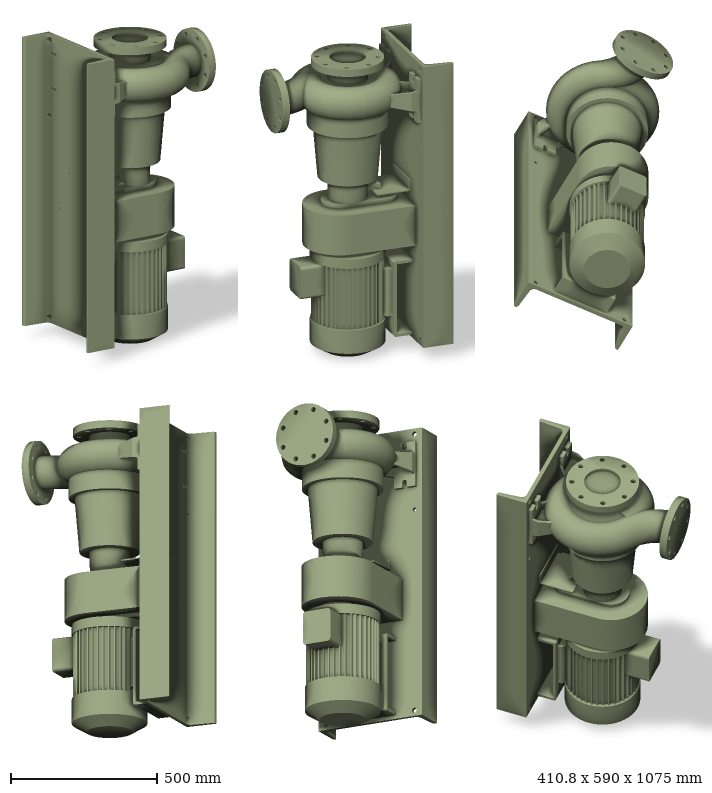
import cadquery as cq
import math


base_face_y = -200.0
discharge_face_y = 280.0
suction_face_z = 125.0

channel_width = 400.0
channel_depth = 110.0
channel_top_z = 130.0
channel_length = 1030.0
web_thickness = 14.0
flange_thickness = 18.0
flange_slope = 0.08
root_radius = 18.0
toe_radius = 9.0

anchor_end_distance = 20.0
anchor_holes = (18.0, 170.0, (channel_top_z - anchor_end_distance,
                              channel_top_z - channel_length + anchor_end_distance))
side_holes = (14.0, 171.0, (-160.0,))

pipe_radius = 57.0
volute_left = 178.0
volute_right = 210.8
tail_end_angle = 60.0
volute_core_radius = 125.0
volute_core_half_height = 48.0

flange_plate = 26.0
flange_holes = 8
flange_hole_diameter = 18.0
suction_flange_diameter = 250.0
suction_hole_circle = 210.0
suction_neck_diameter = 140.0
suction_bore = 125.0
suction_bore_depth = 13.0
discharge_flange_diameter = 220.0
discharge_hole_circle = 180.0

cover_radius = 140.0
cover_bottom_z = -120.0
cone_top_radius = 120.0
cone_bottom_radius = 103.5
cone_bottom_z = -311.0
boss_top_radius = 70.0
boss_bottom_radius = 67.0
boss_bottom_z = -388.0

foot_outer_x = 181.0
foot_inner_x = 101.0
foot_thickness = 15.0
foot_half_length = 80.0
foot_slot_x = 140.0
foot_slot_z = 62.5
foot_slot_width = 18.0
rib_thickness = 8.0
rib_knee_y = -164.0
rib_tip = (-149.0, -101.0)
inner_rib_tip = (-62.0, -167.0)
rib_half_width_at_base = 40.0
rib_half_width_at_axis = 5.0
rib_web_thickness = 12.0
foot_holes = (14.0, (foot_slot_x, 156.5), (foot_slot_z, -foot_slot_z))

bracket_width = 160.0
bracket_sheet = 4.0
bracket_top_z = -324.0
bracket_bottom_z = -367.0
bracket_reach_y = -78.0
lug_width = 60.0
lug_top_z = -346.0
lug_end_y = -110.0
bracket_holes = (9.0, 54.0, (-340.0,))

guard_radius = 126.5
guard_round_y = 31.0
guard_top_z = -405.0
guard_bottom_z = -551.0
collar_radius = 64.0
collar_thickness = 14.0
collar_lower_y = -117.0
guard_holes = (8.0, 109.0, ((guard_top_z + guard_bottom_z) / 2,))

motor_top_z = -569.0
motor_flange_bottom_z = -603.5
fan_cover_top_z = -829.5
fan_cover_bottom_z = -915.0
motor_bottom_z = -945.0
motor_radius = 129.5
motor_end_radius = 79.0
core_radius = 116.0
fin_radius = 125.0
fin_pitch_angle = 9.0
fins_per_half_side = 5
fin_thickness = 3.5
shaft_height = 132.0
motor_foot_half_width = 80.0
motor_foot_top_half_width = 66.0
motor_foot_shoulder_y = -118.0
motor_foot_top_y = -106.0
motor_foot_top_z = -642.0
motor_foot_bottom_z = -816.0
box_half_width = 53.0
box_top_z = -604.5
box_bottom_z = -722.0
box_outer_y = 192.0
box_corner_radius = 11.0

support_top_z = -611.0
support_bottom_z = -887.0
support_width = 200.0
support_sheet = 10.0
support_bend_radius = 7.0


def cylinder(radius, z_low, z_high):
    """Upright cylinder on the pump axis."""
    return cq.Workplane("XY").workplane(offset=z_low).circle(radius).extrude(z_high - z_low)


def box(x_range, y_range, z_range):
    """Box given by its limits along the three axes."""
    size = [high - low for low, high in (x_range, y_range, z_range)]
    corner = (x_range[0], y_range[0], z_range[0])
    return cq.Workplane("XY").box(*size, centered=False).translate(corner)


def pipe_bend(centre, bend_radius, start_angle, sweep_angle):
    """Solid round bend lying in the Z = 0 plane."""
    bend = (
        cq.Workplane("XZ")
        .center(bend_radius, 0)
        .circle(pipe_radius)
        .revolve(sweep_angle, (-bend_radius, 0, 0), (-bend_radius, 1, 0))
    )
    return bend.rotate((0, 0, 0), (0, 0, 1), start_angle).translate((centre[0], centre[1], 0))


def base_holes(diameter, half_spacing, z_positions):
    """Cutters for mirrored pairs of holes through the base."""
    points = [(side * half_spacing, z) for side in (-1, 1) for z in z_positions]
    return (
        cq.Workplane("XZ", origin=(0, base_face_y, 0))
        .pushPoints(points)
        .circle(diameter / 2)
        .extrude(web_thickness + root_radius)
    )


def build_base():
    half = channel_width / 2
    mid_depth = channel_depth / 2
    root_thickness = flange_thickness + flange_slope * (mid_depth - web_thickness)
    toe_thickness = flange_thickness - flange_slope * mid_depth
    web_y = base_face_y - web_thickness
    toe_y = base_face_y - channel_depth
    channel = (
        cq.Workplane("XY", origin=(0, 0, channel_top_z - channel_length))
        .polyline([
            (-half, base_face_y),
            (half, base_face_y),
            (half, toe_y),
            (half - toe_thickness, toe_y),
            (half - root_thickness, web_y),
            (root_thickness - half, web_y),
            (toe_thickness - half, toe_y),
            (-half, toe_y),
        ])
        .close()
        .extrude(channel_length)
    )
    for side in (-1, 1):
        root = cq.NearestToPointSelector((side * (half - root_thickness), web_y, 0))
        channel = channel.edges("|Z").edges(root).fillet(root_radius)
        toe = cq.NearestToPointSelector((side * (half - toe_thickness), toe_y, 0))
        channel = channel.edges("|Z").edges(toe).fillet(toe_radius)

    foot_diameter, foot_spacings, foot_z = foot_holes
    groups = [anchor_holes, side_holes, bracket_holes, guard_holes]
    groups += [(foot_diameter, spacing, foot_z) for spacing in foot_spacings]
    for group in groups:
        channel = channel.cut(base_holes(*group))
    return channel


def build_volute():
    main_centre_x = (volute_right - volute_left) / 2
    main_radius = (volute_right + volute_left) / 2 - pipe_radius
    tail_radius = volute_left - pipe_radius

    outlet_radius = (
        discharge_face_y ** 2 + main_centre_x ** 2 - main_radius ** 2
    ) / (2 * (main_radius + main_centre_x))
    join_angle = math.degrees(math.asin(discharge_face_y / (main_radius + outlet_radius)))

    main = pipe_bend((main_centre_x, 0), main_radius, 180, 180 + join_angle)
    tail = pipe_bend((0, 0), tail_radius, tail_end_angle, 180 - tail_end_angle)
    outlet = pipe_bend((outlet_radius, discharge_face_y), outlet_radius, 180, join_angle)
    core = cylinder(volute_core_radius, -volute_core_half_height, volute_core_half_height)
    return main.union(outlet).union(tail).union(core)


def pipe_flange(diameter, hole_circle):
    """Flange with its face on Z = 0 and its plate below."""
    return (
        cq.Workplane("XY")
        .circle(diameter / 2)
        .extrude(-flange_plate)
        .faces(">Z")
        .workplane()
        .polarArray(hole_circle / 2, 180 / flange_holes, 360, flange_holes)
        .hole(flange_hole_diameter)
    )


def build_bearing_housing():
    return (
        cq.Workplane("XZ")
        .polyline([
            (0, 0),
            (cover_radius, 0),
            (cover_radius, cover_bottom_z),
            (cone_top_radius, cover_bottom_z),
            (cone_bottom_radius, cone_bottom_z),
            (boss_top_radius, cone_bottom_z),
            (boss_bottom_radius, boss_bottom_z),
            (0, boss_bottom_z),
        ])
        .close()
        .revolve(360, (0, 0, 0), (0, 1, 0))
    )


def rib_taper():
    """Tapered slab that limits the ribs along Z: wide at the base, narrow at the pump axis."""
    return (
        cq.Workplane("YZ", origin=(-channel_width / 2, 0, 0))
        .polyline([
            (base_face_y, -rib_half_width_at_base),
            (0, -rib_half_width_at_axis),
            (0, rib_half_width_at_axis),
            (base_face_y, rib_half_width_at_base),
        ])
        .close()
        .extrude(channel_width / 2)
    )


def build_left_foot():
    plate_top = base_face_y + foot_thickness
    plate = box((-foot_outer_x, -foot_inner_x), (base_face_y, plate_top),
                (-foot_half_length, foot_half_length))
    for side in (-1, 1):
        slot_z = sorted((side * foot_slot_z, side * foot_half_length))
        slot = box((-foot_slot_x - foot_slot_width / 2, -foot_slot_x + foot_slot_width / 2),
                   (base_face_y, plate_top), slot_z)
        slot_end = (
            cq.Workplane("XZ", origin=(-foot_slot_x, plate_top, side * foot_slot_z))
            .circle(foot_slot_width / 2)
            .extrude(foot_thickness)
        )
        plate = plate.cut(slot).cut(slot_end)

    panel_start_y = base_face_y - 2 * rib_thickness
    outline = cq.Workplane("XY", origin=(0, 0, -rib_half_width_at_base)).polyline([
        (-foot_outer_x, panel_start_y),
        (-foot_outer_x, rib_knee_y),
        rib_tip,
        (-foot_inner_x, rib_tip[1]),
        inner_rib_tip,
        (-foot_inner_x, base_face_y),
        (-foot_inner_x, panel_start_y),
    ]).close()
    inside = outline.offset2D(-rib_thickness).extrude(2 * rib_half_width_at_base)
    solid_panel = cq.Workplane(outline.val()).toPending().extrude(2 * rib_half_width_at_base)
    ribs = solid_panel.cut(inside).intersect(rib_taper())
    web = solid_panel.intersect(
        box((-foot_outer_x, 0), (base_face_y, 0), (-rib_web_thickness / 2, rib_web_thickness / 2))
    )
    return plate.union(ribs).union(web)


def build_rear_bracket():
    half = bracket_width / 2
    upright = box((-half, half), (base_face_y, base_face_y + bracket_sheet),
                  (bracket_bottom_z, bracket_top_z))
    shelf_top = bracket_bottom_z + bracket_sheet
    shelf = box((-half, half), (base_face_y, bracket_reach_y), (bracket_bottom_z, shelf_top))
    lug = box((-lug_width / 2, lug_width / 2), (lug_end_y, 0), (shelf_top, lug_top_z))
    return upright.union(shelf).union(lug)


def build_pump():
    suction_flange = pipe_flange(suction_flange_diameter, suction_hole_circle)
    discharge_flange = pipe_flange(discharge_flange_diameter, discharge_hole_circle)
    left_foot = build_left_foot()
    suction_bore_cut = cylinder(suction_bore / 2, suction_face_z - suction_bore_depth, suction_face_z)
    pump = build_volute()
    pump = pump.union(cylinder(suction_neck_diameter / 2, 0, suction_face_z - flange_plate))
    pump = pump.union(suction_flange.translate((0, 0, suction_face_z)))
    pump = pump.cut(suction_bore_cut)
    pump = pump.union(
        discharge_flange.rotate((0, 0, 0), (1, 0, 0), -90).translate((0, discharge_face_y, 0))
    )
    pump = pump.union(build_bearing_housing())
    pump = pump.union(left_foot).union(left_foot.mirror("YZ"))
    return pump.union(build_rear_bracket())


def build_guard():
    def straight_and_round(radius, low_y, z_low, z_high):
        round_end = cylinder(radius, z_low, z_high).translate((0, guard_round_y, 0))
        straight = box((-radius, radius), (low_y, guard_round_y), (z_low, z_high))
        return round_end.union(straight)

    case = straight_and_round(guard_radius, base_face_y, guard_bottom_z, guard_top_z)
    collars = (guard_bottom_z - collar_thickness, guard_top_z + collar_thickness)
    collar = straight_and_round(collar_radius, collar_lower_y, *collars)
    lower_end = cylinder(collar_radius, *collars).translate((0, collar_lower_y, 0))
    return case.union(collar).union(lower_end)


def motor_fins():
    """Fins of the +X side: all parallel to X, with evenly spread tips on one circle."""
    fins = cq.Workplane("XY")
    for side in (-1, 1):
        for index in range(fins_per_half_side):
            tip_angle = math.radians((index + 0.5) * fin_pitch_angle)
            fin_y = side * fin_radius * math.sin(tip_angle)
            fin = box((0, fin_radius * math.cos(tip_angle)),
                      (fin_y - fin_thickness / 2, fin_y + fin_thickness / 2),
                      (fan_cover_top_z, motor_flange_bottom_z))
            fins = fins.add(fin)
    return fins.combine()


def build_motor():
    frame = (
        cq.Workplane("XZ")
        .polyline([
            (0, motor_top_z),
            (motor_radius, motor_top_z),
            (motor_radius, motor_flange_bottom_z),
            (core_radius, motor_flange_bottom_z),
            (core_radius, fan_cover_top_z),
            (motor_radius, fan_cover_top_z),
            (motor_radius, fan_cover_bottom_z),
            (motor_end_radius, motor_bottom_z),
            (0, motor_bottom_z),
        ])
        .close()
        .revolve(360, (0, 0, 0), (0, 1, 0))
    )
    fins = motor_fins()
    for quarter in range(4):
        frame = frame.union(fins.rotate((0, 0, 0), (0, 0, 1), 90 * quarter))

    foot = (
        cq.Workplane("XY", origin=(0, 0, motor_foot_bottom_z))
        .polyline([
            (-motor_foot_top_half_width, 0),
            (-motor_foot_top_half_width, motor_foot_top_y),
            (-motor_foot_half_width, motor_foot_shoulder_y),
            (-motor_foot_half_width, -shaft_height),
            (motor_foot_half_width, -shaft_height),
            (motor_foot_half_width, motor_foot_shoulder_y),
            (motor_foot_top_half_width, motor_foot_top_y),
            (motor_foot_top_half_width, 0),
        ])
        .close()
        .extrude(motor_foot_top_z - motor_foot_bottom_z)
    )
    terminal_box = box((-box_half_width, box_half_width), (0, box_outer_y), (box_bottom_z, box_top_z))
    terminal_box = terminal_box.edges("|Y").fillet(box_corner_radius)
    return frame.union(foot).union(terminal_box)


def build_motor_support():
    """Channel of bent plate, open towards the base."""
    outer = box((-support_width / 2, support_width / 2), (base_face_y, -shaft_height),
                (support_bottom_z, support_top_z))
    outer = outer.edges("|X and >Y").fillet(support_bend_radius)
    inner = box((-support_width / 2, support_width / 2), (base_face_y, -shaft_height - support_sheet),
                (support_bottom_z + support_sheet, support_top_z - support_sheet))
    return outer.cut(inner)


base = build_base()
pump = build_pump()
guard = build_guard()
motor = build_motor()
motor_support = build_motor_support()

result = cq.Compound.makeCompound(
    [body.solids().val() for body in (base, pump, guard, motor, motor_support)]
)